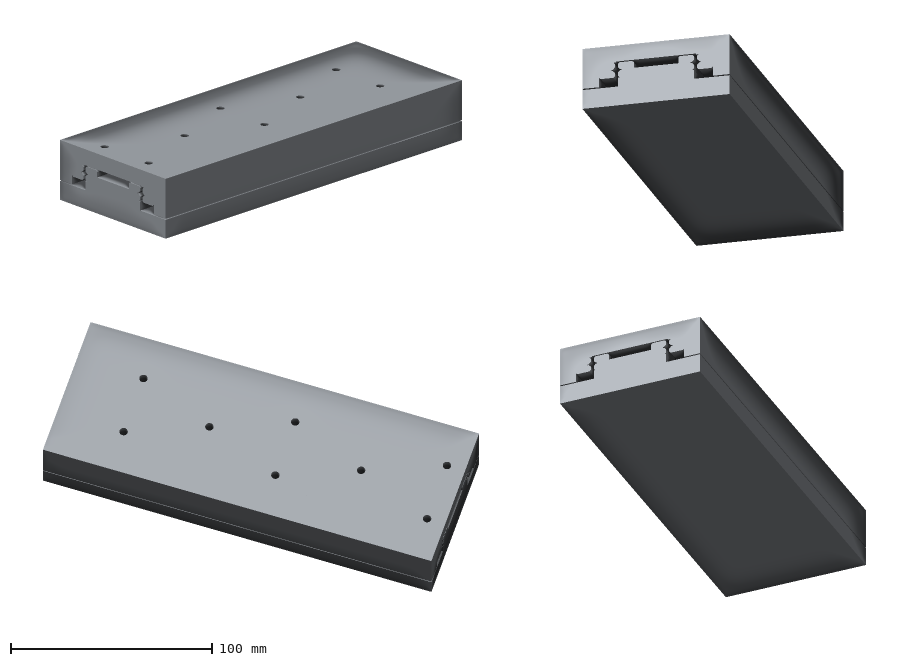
import cadquery as cq

TABLE_WIDTH = 76.2
TABLE_LENGTH = 203.2
TABLE_HEIGHT = 31.76
END_OFFSET = 0.02
BASE_THICKNESS = 10.0
PLATE_GAP = 0.6

PAIR_CENTER_X = 20.5
PAIR_WIDTH = 18.0
RAIL_HEIGHT = 8.0
RAIL_GAP = 1.6
RAIL_CENTER_Z = 18.8
RAIL_CHAMFER = 0.8
RAIL_WIDTH = (PAIR_WIDTH - RAIL_GAP) / 2
GROOVE_HALF_HEIGHT = 1.4
RELIEF_WIDTH = 0.5
RELIEF_DEPTH = 1.75

RAIL_BOTTOM_Z = RAIL_CENTER_Z - RAIL_HEIGHT / 2
RAIL_TOP_Z = RAIL_CENTER_Z + RAIL_HEIGHT / 2
OUTER_SEAT_X = PAIR_CENTER_X + PAIR_WIDTH / 2
INNER_SEAT_X = PAIR_CENTER_X - PAIR_WIDTH / 2

PEDESTAL_HALF_WIDTH = PAIR_CENTER_X - RAIL_GAP / 2
PEDESTAL_TOP_Z = 19.1

CEILING_RELIEF = 0.5
CEILING_HALF_WIDTH = 20.75

HOLE_DIAMETER = 4.2
HOLE_HALF_SPACING_X = 15.875
HOLE_PITCH_Y = 39.6875
HOLE_CENTER_Y = -12.7
HOLE_ROWS_EACH_SIDE = 2

BASE_START_Y = -(TABLE_LENGTH + END_OFFSET) / 2
CARRIAGE_START_Y = BASE_START_Y + END_OFFSET


def extrude_along_y(profile, start_y):
    """Extrude a profile drawn in X and Z over the table length, starting at start_y."""
    return profile.extrude(-TABLE_LENGTH).translate((0, start_y, 0))


def block(half_width, bottom_z, top_z, start_y):
    """Full-length bar centred on X = 0."""
    profile = cq.Workplane("XZ").center(0, (bottom_z + top_z) / 2).rect(2 * half_width, top_z - bottom_z)
    return extrude_along_y(profile, start_y)


def make_base():
    """Flat plate with a central pedestal, notched along both upper edges for the inner rails."""
    plate = block(TABLE_WIDTH / 2, 0, BASE_THICKNESS, BASE_START_Y)
    pedestal = block(PEDESTAL_HALF_WIDTH, 0, RAIL_BOTTOM_Z, BASE_START_Y)
    crown = block(INNER_SEAT_X, 0, PEDESTAL_TOP_Z, BASE_START_Y)
    return plate.union(pedestal).union(crown)


def make_carriage():
    """Inverted channel whose inner corners seat the outer rails."""
    body = block(TABLE_WIDTH / 2, BASE_THICKNESS + PLATE_GAP, TABLE_HEIGHT, CARRIAGE_START_Y)
    channel = block(OUTER_SEAT_X, 0, RAIL_TOP_Z, CARRIAGE_START_Y)
    ceiling = block(CEILING_HALF_WIDTH, 0, RAIL_TOP_Z + CEILING_RELIEF, CARRIAGE_START_Y)
    return body.cut(channel).cut(ceiling).cut(mounting_holes())


def mounting_holes():
    """Rows of two holes alternating with single holes on the centreline, all through the top."""
    points = []
    for row in range(-HOLE_ROWS_EACH_SIDE, HOLE_ROWS_EACH_SIDE + 1):
        y = HOLE_CENTER_Y + row * HOLE_PITCH_Y
        if row % 2 == 0:
            points += [(-HOLE_HALF_SPACING_X, y), (HOLE_HALF_SPACING_X, y)]
        else:
            points.append((0, y))
    drill = cq.Workplane("XY", origin=(0, 0, RAIL_TOP_Z))
    return drill.pushPoints(points).circle(HOLE_DIAMETER / 2).extrude(TABLE_HEIGHT - RAIL_TOP_Z)


def make_rail(start_y):
    """Rail seated at X = 0 with its grooved face toward +X and its mid-height at Z = 0.

    The corner of the seat is square; the other three corners are chamfered.
    """
    half = RAIL_HEIGHT / 2
    relief_half = RELIEF_WIDTH / 2
    root_x = RAIL_WIDTH - (GROOVE_HALF_HEIGHT - relief_half)
    relief_x = RAIL_WIDTH - RELIEF_DEPTH
    profile = (
        cq.Workplane("XZ")
        .moveTo(0, half)
        .lineTo(RAIL_WIDTH - RAIL_CHAMFER, half)
        .lineTo(RAIL_WIDTH, half - RAIL_CHAMFER)
        .lineTo(RAIL_WIDTH, GROOVE_HALF_HEIGHT)
        .lineTo(root_x, relief_half)
        .lineTo(relief_x, relief_half)
        .lineTo(relief_x, -relief_half)
        .lineTo(root_x, -relief_half)
        .lineTo(RAIL_WIDTH, -GROOVE_HALF_HEIGHT)
        .lineTo(RAIL_WIDTH, RAIL_CHAMFER - half)
        .lineTo(RAIL_WIDTH - RAIL_CHAMFER, -half)
        .lineTo(RAIL_CHAMFER, -half)
        .lineTo(0, RAIL_CHAMFER - half)
        .close()
    )
    return extrude_along_y(profile, start_y)


def place_outer_rail(side):
    """Rail in an upper corner of the carriage; side is -1 or 1 along X."""
    rail = make_rail(CARRIAGE_START_Y)
    if side > 0:
        rail = rail.mirror("YZ")
    return rail.translate((side * OUTER_SEAT_X, 0, RAIL_CENTER_Z))


def place_inner_rail(side):
    """Rail in a notch of the base, upside down and facing the outer rail."""
    rail = make_rail(BASE_START_Y).mirror("XY")
    if side < 0:
        rail = rail.mirror("YZ")
    return rail.translate((side * INNER_SEAT_X, 0, RAIL_CENTER_Z))


base = make_base()
carriage = make_carriage()
outer_rails = [place_outer_rail(side) for side in (-1, 1)]
inner_rails = [place_inner_rail(side) for side in (-1, 1)]

rail_solids = [rail.val() for rail in outer_rails + inner_rails]
result = cq.Compound.makeCompound([base.val(), carriage.val(), *rail_solids])